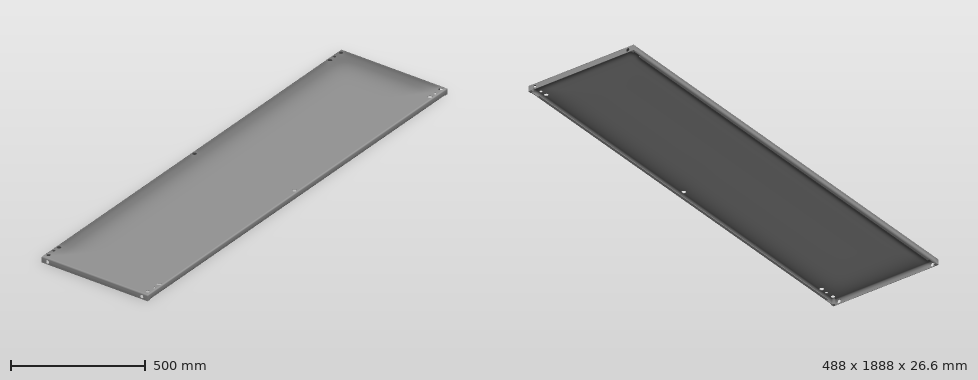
import cadquery as cq

LENGTH = 1888
WIDTH = 488
HEIGHT = 26.6
TOP = HEIGHT / 2

SHEET = 2
BEND = 6
INNER_BEND = BEND - SHEET
LIP = 14
LIP_SETBACK = 50
SIDE_FLANGE_SETBACK = 5
END_FLANGE_SETBACK = 10

CORNER_HOLE = (16, 23, 16)
SMALL_HOLE = (13, 60, 12)
SCREW_HOLE = (14.5, 91, 17.4)

FLANGE_HOLE_INSET = 28
FLANGE_HOLE_DROP = 15.8
FLANGE_HOLE_DIAMETER = 15

CORNER_SIZE = 14


def block(x_size, y_size, z_size):
    return cq.Workplane("XY").box(x_size, y_size, z_size)


def side_channel():
    """C section along Y: top sheet, two side flanges and their return lips."""
    outside = block(WIDTH, LENGTH - 2 * SIDE_FLANGE_SETBACK, HEIGHT).edges("|Y").fillet(BEND)
    inside = block(WIDTH - 2 * SHEET, LENGTH, HEIGHT - 2 * SHEET).edges("|Y").fillet(INNER_BEND)
    lip_opening = block(WIDTH - 2 * LIP, LENGTH, HEIGHT).translate((0, 0, -TOP))
    return outside.cut(inside).cut(lip_opening)


def lip_end_cuts():
    """Cutters that shorten the return lips at both ends, back to their bend lines."""
    cutters = block(WIDTH - 2 * BEND, LENGTH, BEND)
    cutters = cutters.cut(block(WIDTH, LENGTH - 2 * LIP_SETBACK, BEND))
    return cutters.translate((0, 0, BEND / 2 - TOP))


def end_channel():
    """Inverted U section along Y: top sheet and the two end flanges."""
    outside = block(WIDTH - 2 * END_FLANGE_SETBACK, LENGTH, HEIGHT).edges("|X and >Z").fillet(BEND)
    inside = block(WIDTH, LENGTH - 2 * SHEET, HEIGHT).edges("|X and >Z").fillet(INNER_BEND)
    return outside.cut(inside.translate((0, 0, -SHEET)))


def top_holes(hole, middle=False):
    """One hole size at the four corners and, if asked, also halfway along both long sides."""
    side_inset, end_inset, diameter = hole
    x = WIDTH / 2 - side_inset
    y = LENGTH / 2 - end_inset
    rows = (-y, 0, y) if middle else (-y, y)
    points = [(side * x, row) for side in (-1, 1) for row in rows]
    return cq.Workplane("XY").pushPoints(points).circle(diameter / 2).extrude(TOP)


def flange_holes():
    x = WIDTH / 2 - FLANGE_HOLE_INSET
    z = TOP - FLANGE_HOLE_DROP
    drills = cq.Workplane("XZ").pushPoints([(-x, z), (x, z)])
    return drills.circle(FLANGE_HOLE_DIAMETER / 2).extrude(LENGTH, both=True)


def make_panel():
    end_bend_envelope = block(WIDTH, LENGTH, HEIGHT).edges("|X and >Z").fillet(BEND)
    body = side_channel().cut(lip_end_cuts()).union(end_channel()).intersect(end_bend_envelope)
    body = body.cut(top_holes(CORNER_HOLE)).cut(top_holes(SMALL_HOLE))
    return body.cut(top_holes(SCREW_HOLE, middle=True)).cut(flange_holes()).solids()


def make_corner_piece(x_side, y_side):
    """Full-height corner block with rounded top edges, fitted around the panel."""
    envelope = block(WIDTH, LENGTH, HEIGHT).edges(">Z").fillet(BEND)
    zone = block(2 * CORNER_SIZE, 2 * CORNER_SIZE, HEIGHT)
    zone = zone.translate((x_side * WIDTH / 2, y_side * LENGTH / 2, 0))
    return envelope.intersect(zone).cut(panel).solids()


panel = make_panel()
corner_pieces = [make_corner_piece(x_side, y_side) for x_side in (-1, 1) for y_side in (-1, 1)]

result = cq.Compound.makeCompound([panel.val(), *[piece.val() for piece in corner_pieces]])